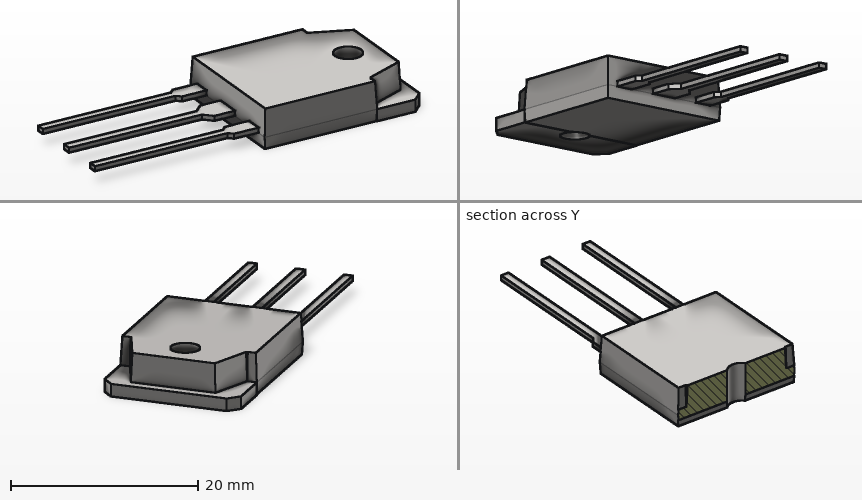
import cadquery as cq


package_width = 15.6
package_length = 19.9
package_height = 4.7
tab_thickness = 1.45
tab_chamfer = 1.2

draft_angle = 3.0
shoulder_y = 13.95
nose_back_y = 18.65
nose_root_width = 13.4
nose_back_width = 9.65
upper_height = package_height - tab_thickness

hole_diameter = 3.2
hole_y = 14.95

lead_length = 20.0
lead_thickness = 0.6
lead_pitch = 5.45
lead_neck_y = -3.5
lead_insertion = 1.0
outer_root_width = 2.0
outer_tip_width = 1.0
center_root_width = 3.05
center_tip_width = 1.08


def make_mounting_hole():
    """Cutter for the screw hole through the whole package."""
    return cq.Workplane("XY").center(0, hole_y).circle(hole_diameter / 2).extrude(package_height)


def make_tab():
    """Metal plate behind the shoulder, with two chamfered back corners."""
    length = package_length - shoulder_y
    plate = (
        cq.Workplane("XY")
        .center(0, shoulder_y + length / 2)
        .rect(package_width, length)
        .extrude(tab_thickness)
        .edges("|Z and >Y")
        .chamfer(tab_chamfer)
    )
    return plate.cut(make_mounting_hole())


def make_upper_molding():
    """Full-width block with a tapered nose, drafted upward from the parting plane."""
    half_width = package_width / 2
    outline = [
        (-half_width, 0),
        (half_width, 0),
        (half_width, shoulder_y),
        (nose_root_width / 2, shoulder_y),
        (nose_back_width / 2, nose_back_y),
        (-nose_back_width / 2, nose_back_y),
        (-nose_root_width / 2, shoulder_y),
        (-half_width, shoulder_y),
    ]
    return (
        cq.Workplane("XY", origin=(0, 0, tab_thickness))
        .polyline(outline)
        .close()
        .extrude(upper_height, taper=draft_angle)
    )


def make_lower_molding():
    """Full-width block drafted downward from the parting plane, leaving a thin wedge gap at the tab."""
    return (
        cq.Workplane("XY", origin=(0, shoulder_y / 2, tab_thickness))
        .rect(package_width, shoulder_y)
        .extrude(-tab_thickness, taper=draft_angle)
    )


def make_molding(leads):
    """One molded body with the mounting hole and a seat for each lead."""
    molding = make_upper_molding().union(make_lower_molding()).cut(make_mounting_hole())
    for lead in leads:
        molding = molding.cut(lead)
    return molding


def make_lead(center_x, root_width, tip_width):
    """Flat lead lying on the parting plane, necking down at 45 degrees."""
    half_root = root_width / 2
    half_tip = tip_width / 2
    taper_start_y = lead_neck_y + half_root - half_tip
    outline = [
        (-half_root, lead_insertion),
        (-half_root, taper_start_y),
        (-half_tip, lead_neck_y),
        (-half_tip, -lead_length),
        (half_tip, -lead_length),
        (half_tip, lead_neck_y),
        (half_root, taper_start_y),
        (half_root, lead_insertion),
    ]
    return (
        cq.Workplane("XY", origin=(center_x, 0, tab_thickness))
        .polyline(outline)
        .close()
        .extrude(lead_thickness)
    )


outer_leads = [make_lead(side * lead_pitch, outer_root_width, outer_tip_width) for side in (-1, 1)]
center_lead = make_lead(0, center_root_width, center_tip_width)
leads = [*outer_leads, center_lead]
tab = make_tab()
molding = make_molding(leads)

result = cq.Compound.makeCompound([tab.val(), molding.val(), *[lead.val() for lead in leads]])